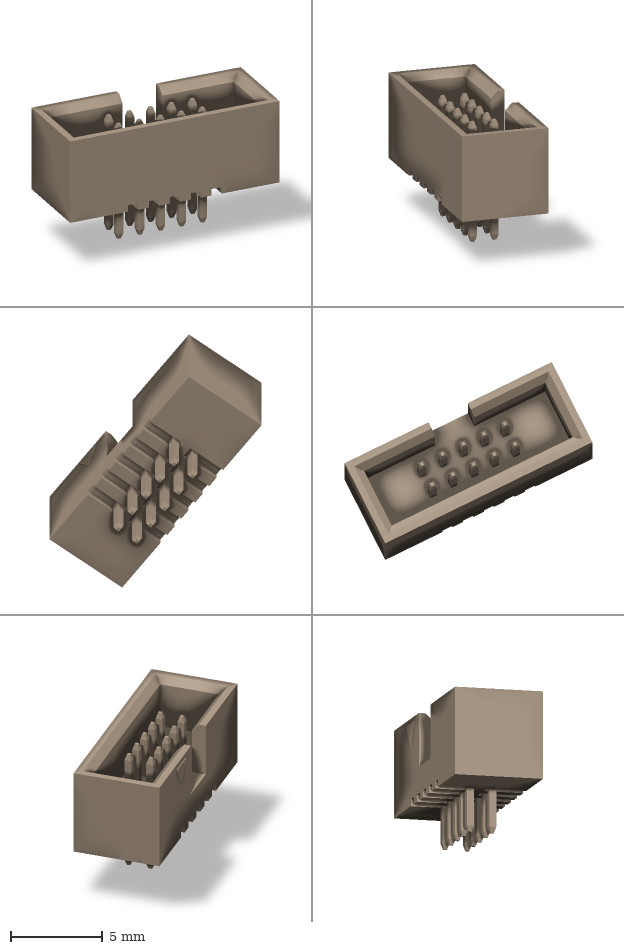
import cadquery as cq
import math


length = 12.7
width = 5.0
height = 4.9
rim_thickness = 0.4
lead_in = 0.41
wall_thickness = rim_thickness + lead_in
cavity_depth = 3.02
key_width = 2.4

rows = 2
columns = 5
pitch = 1.27
pin_size = 0.4
pin_tip_size = 0.19
pin_tip_length = 0.33
pin_below = 2.4
pin_top_gap = 0.41

groove_width = 0.61
groove_height = 0.4
web_width = pitch - pin_size
web_chamfer = 0.2

marker_side = 1.5
marker_raise = 0.05
marker_y = 2.85
marker_top_gap = 0.3

floor_z = height - cavity_depth
row_places = [(row - (rows - 1) / 2) * pitch for row in range(rows)]
column_places = [(column - (columns - 1) / 2) * pitch for column in range(columns)]


def block(size_x, size_y, bottom, top):
    """Box centred on X and Y between two heights."""
    return cq.Workplane("XY").workplane(offset=bottom).rect(size_x, size_y).extrude(top - bottom)


def make_housing():
    """Open box with a sloped lead-in around the mouth."""
    cavity_x = width - 2 * wall_thickness
    cavity_y = length - 2 * wall_thickness
    cavity = block(cavity_x, cavity_y, floor_z, height)
    mouth = (
        cq.Workplane("XY")
        .workplane(offset=height - lead_in)
        .rect(cavity_x, cavity_y)
        .workplane(offset=lead_in)
        .rect(width - 2 * rim_thickness, length - 2 * rim_thickness)
        .loft(ruled=True)
    )
    return block(width, length, 0, height).cut(cavity).cut(mouth)


def make_key_slot():
    """Polarising slot through the -X wall, down to the cavity floor."""
    return block(wall_thickness, key_width, floor_z, height).translate(((wall_thickness - width) / 2, 0, 0))


def make_grooves(y):
    """Pair of grooves from the -X and +X faces to a central web whose lower edges are chamfered."""
    web_face = -web_width / 2
    profile = [
        (-width / 2, 0),
        (-width / 2, groove_height),
        (web_face, groove_height),
        (web_face, web_chamfer),
        (web_face + web_chamfer, 0),
    ]
    groove = cq.Workplane("XZ").polyline(profile).close().extrude(groove_width / 2, both=True)
    return groove.union(groove.mirror("YZ")).translate((0, y, 0))


def make_tip():
    """Tapered pin end, wide side at Z = 0 and pointing up."""
    return (
        cq.Workplane("XY")
        .rect(pin_size, pin_size)
        .workplane(offset=pin_tip_length)
        .rect(pin_tip_size, pin_tip_size)
        .loft(ruled=True)
    )


def make_pin():
    """Square pin tapered at both ends."""
    shank_bottom = pin_tip_length - pin_below
    shank_top = height - pin_top_gap - pin_tip_length
    upper_tip = make_tip().translate((0, 0, shank_top))
    lower_tip = make_tip().mirror("XY").translate((0, 0, shank_bottom))
    return block(pin_size, pin_size, shank_bottom, shank_top).union(upper_tip).union(lower_tip)


def make_marker():
    """Triangle pointing down on the -X face."""
    top = height - marker_top_gap
    apex = top - marker_side * math.sqrt(3) / 2
    corners = [
        (marker_y - marker_side / 2, top),
        (marker_y + marker_side / 2, top),
        (marker_y, apex),
    ]
    return cq.Workplane("YZ").workplane(offset=-width / 2).polyline(corners).close().extrude(-marker_raise)


result = make_housing().cut(make_key_slot())
for y in column_places:
    result = result.cut(make_grooves(y))
result = result.union(make_marker())
for x in row_places:
    for y in column_places:
        result = result.union(make_pin().translate((x, y, 0)))